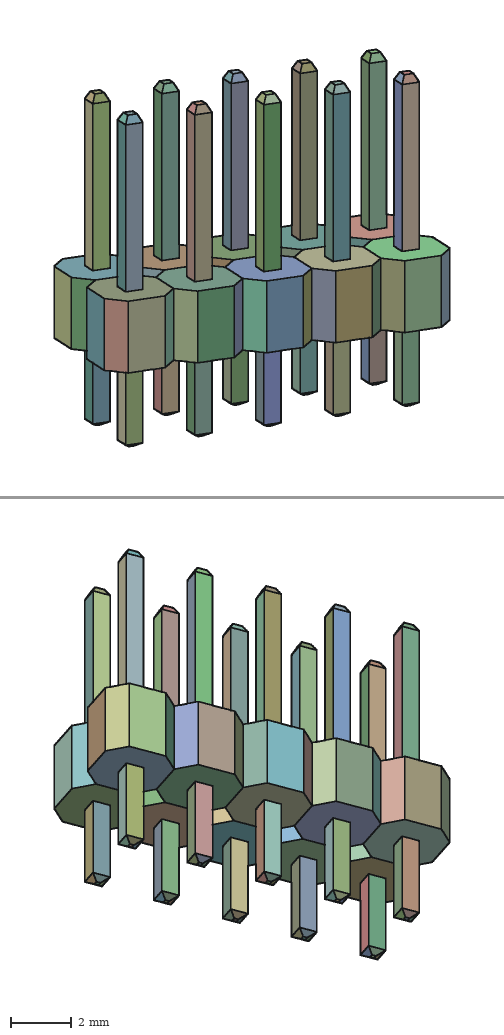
import cadquery as cq

columns = 2
rows = 5
pitch = 2.54

block_height = 2.5
corner_cut = 0.6

pin_width = 0.64
pin_height = 11.6
pin_below_block = 3.0

top_taper_height = 0.28
top_tip_width = 0.34
bottom_taper_height = 0.15
bottom_tip_width = 0.15

pin_bottom = -pin_below_block
pin_top = pin_bottom + pin_height
shank_bottom = pin_bottom + bottom_taper_height
shank_top = pin_top - top_taper_height


def make_block():
    """Square block with its four vertical corners cut off at 45 degrees."""
    return (
        cq.Workplane("XY")
        .box(pitch, pitch, block_height, centered=(True, True, False))
        .edges("|Z")
        .chamfer(corner_cut)
    )


def make_taper(lower_z, lower_width, upper_z, upper_width):
    """Square frustum between two heights."""
    return (
        cq.Workplane("XY", origin=(0, 0, lower_z))
        .rect(lower_width, lower_width)
        .workplane(offset=upper_z - lower_z)
        .rect(upper_width, upper_width)
        .loft(ruled=True)
    )


def make_pin():
    """Straight square shank with a tapered tip at each end."""
    shank = (
        cq.Workplane("XY", origin=(0, 0, shank_bottom))
        .rect(pin_width, pin_width)
        .extrude(shank_top - shank_bottom)
    )
    top_tip = make_taper(shank_top, pin_width, pin_top, top_tip_width)
    bottom_tip = make_taper(pin_bottom, bottom_tip_width, shank_bottom, pin_width)
    return shank.union(top_tip).union(bottom_tip)


def make_module():
    """One header position: block and pin in a single piece."""
    return make_block().union(make_pin())


def place_modules():
    """A separate module at every grid position, centred on the Z axis."""
    module = make_module()
    placed = []
    for column in range(columns):
        for row in range(rows):
            x = (column - (columns - 1) / 2) * pitch
            y = (row - (rows - 1) / 2) * pitch
            placed.append(module.translate((x, y, 0)).val())
    return placed


modules = place_modules()
result = cq.Compound.makeCompound(modules)